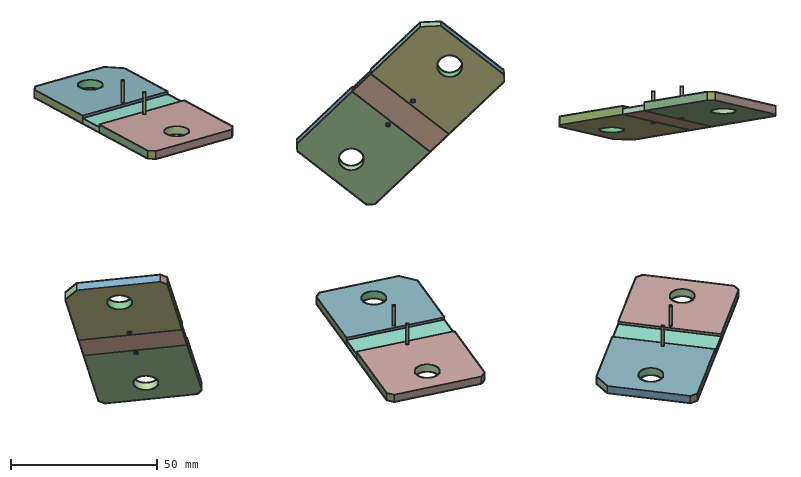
import cadquery as cq

length = 70.0
width = 36.0

plate_thickness = 3.0
corner_chamfer = 2.0
key_chamfer = 5.0
mount_hole_diameter = 8.55
mount_hole_offset = 25.05

bridge_length = 9.5
bridge_thickness = 2.0

pin_diameter = 1.05
pin_offset = 6.4
pin_rise = 8.0
head_diameter = 1.5
head_thickness = 0.1

plate_length = (length - bridge_length) / 2
plate_offset = (bridge_length + plate_length) / 2


def make_plate(side):
    """Chamfered plate on the -X (side = -1) or +X (side = 1) end, with its two holes."""
    outer_face = "<X" if side < 0 else ">X"
    back_chamfer = key_chamfer if side < 0 else corner_chamfer
    plate = (
        cq.Workplane("XY")
        .center(side * plate_offset, 0)
        .rect(plate_length, width)
        .extrude(plate_thickness)
    )
    plate = plate.faces(outer_face).edges("|Z and <Y").chamfer(corner_chamfer)
    plate = plate.faces(outer_face).edges("|Z and >Y").chamfer(back_chamfer)
    mount_hole = make_cylinder(side * mount_hole_offset, mount_hole_diameter, 0, plate_thickness)
    pin_hole = make_cylinder(side * pin_offset, pin_diameter, 0, plate_thickness)
    return plate.cut(mount_hole).cut(pin_hole)


def make_cylinder(x, diameter, bottom, top):
    """Upright cylinder on the X axis between two heights."""
    return (
        cq.Workplane("XY", origin=(x, 0, bottom))
        .circle(diameter / 2)
        .extrude(top - bottom)
    )


def make_bridge():
    """Thin strip joining the inner ends of the plates, flush with their undersides."""
    return cq.Workplane("XY").rect(bridge_length, width).extrude(bridge_thickness)


def make_pin(side):
    """Pin through one plate, with a thin flat head under the plate."""
    x = side * pin_offset
    shank = make_cylinder(x, pin_diameter, 0, plate_thickness + pin_rise)
    head = make_cylinder(x, head_diameter, -head_thickness, 0)
    return shank.union(head)


sides = (-1, 1)
plates = [make_plate(side).solids().val() for side in sides]
bridge = make_bridge()
pins = [make_pin(side).solids().val() for side in sides]

result = cq.Compound.makeCompound([*plates, bridge.val(), *pins])